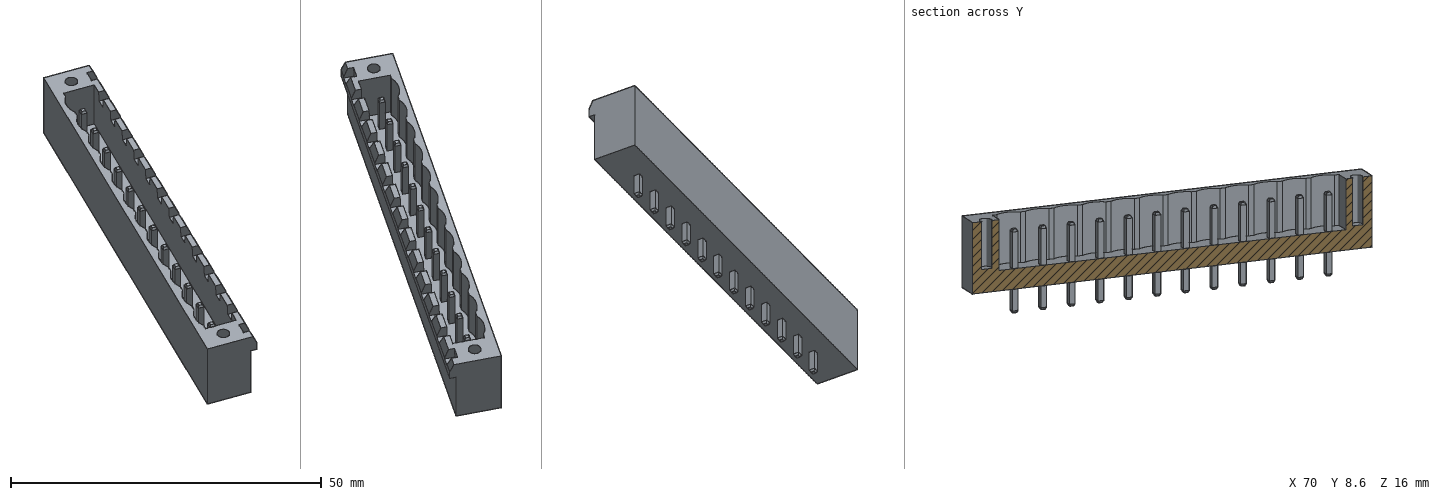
import cadquery as cq

pin_count = 12
pitch = 5.0
pin_width = 1.0
pin_tip_length = 0.4
pin_tip_inset = 0.2
pin_tail_length = 4.0
pin_top_z = 10.0

housing_length = 70.0
housing_height = 12.0
overall_depth = 8.6
front_y = -3.8
lip_back_y = front_y + overall_depth

lip_overhang = 1.05
lip_height = 3.0
lip_chamfer_depth = 0.7
lip_chamfer_height = 1.5
body_back_y = lip_back_y - lip_overhang

cavity_length = 60.7
cavity_floor_z = 3.5
front_wall = 1.6
back_wall = 1.7
cavity_front_y = front_y + front_wall
cavity_back_y = lip_back_y - back_wall

scallop_width = 4.1
scallop_depth = 0.65

notch_top_width = 2.0
notch_floor_width = 1.5
notch_depth = 1.75

insert_diameter = 4.0
screw_hole_diameter = 2.0
insert_depth = 8.0

pin_xs = [(i - (pin_count - 1) / 2) * pitch for i in range(pin_count)]
insert_x = pin_xs[-1] + pitch
insert_xs = [-insert_x, insert_x]


def make_housing():
    """Extrude the side profile, a block with a chamfered lip, along X."""
    profile = [
        (front_y, 0),
        (body_back_y, 0),
        (body_back_y, housing_height - lip_height),
        (lip_back_y, housing_height - lip_height),
        (lip_back_y, housing_height - lip_chamfer_height),
        (lip_back_y - lip_chamfer_depth, housing_height),
        (front_y, housing_height),
    ]
    return cq.Workplane("YZ").polyline(profile).close().extrude(housing_length / 2, both=True)


def make_cavity():
    """Open-topped pocket whose front wall bulges outwards in an arc at each pin."""
    half_length = cavity_length / 2
    outline = cq.Workplane("XY").workplane(offset=cavity_floor_z)
    outline = outline.moveTo(-half_length, cavity_back_y).lineTo(-half_length, cavity_front_y)
    for x in pin_xs:
        outline = outline.lineTo(x - scallop_width / 2, cavity_front_y)
        outline = outline.threePointArc(
            (x, cavity_front_y - scallop_depth),
            (x + scallop_width / 2, cavity_front_y),
        )
    outline = outline.lineTo(half_length, cavity_front_y).lineTo(half_length, cavity_back_y).close()
    return outline.extrude(housing_height - cavity_floor_z)


def make_notch(x):
    """Slot across the back wall with slightly flared sides."""
    floor_z = housing_height - notch_depth
    section = [
        (x - notch_floor_width / 2, floor_z),
        (x + notch_floor_width / 2, floor_z),
        (x + notch_top_width / 2, housing_height),
        (x - notch_top_width / 2, housing_height),
    ]
    return cq.Workplane("XZ", origin=(0, lip_back_y, 0)).polyline(section).close().extrude(back_wall)


def make_insert_bore(x):
    """Blind round bore in the top of the housing."""
    base = cq.Workplane("XY", origin=(x, 0, housing_height - insert_depth))
    return base.circle(insert_diameter / 2).extrude(insert_depth)


def make_insert(x):
    """Sleeve that fills the bore up to the top of the housing and leaves the screw hole."""
    return make_insert_bore(x).faces(">Z").workplane().hole(screw_hole_diameter)


def make_pin(x):
    """Square contact pin with both tips tapered."""
    pin = cq.Workplane("XY", origin=(x, 0, -pin_tail_length)).rect(pin_width, pin_width)
    pin = pin.extrude(pin_tail_length + pin_top_z)
    return pin.faces("<Z or >Z").chamfer(pin_tip_length, pin_tip_inset)


result = make_housing().cut(make_cavity())
for x in insert_xs + pin_xs:
    result = result.cut(make_notch(x))
for x in insert_xs:
    result = result.cut(make_insert_bore(x))
for x in pin_xs:
    result = result.union(make_pin(x))
for x in insert_xs:
    result = result.union(make_insert(x), clean=False)